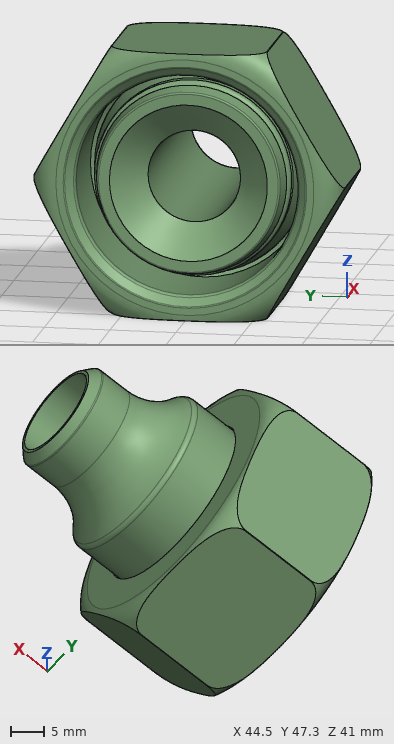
import cadquery as cq
import math

OVERALL_LENGTH = 44.45

NUT_LENGTH = 21.0
NUT_ACROSS_FLATS = 41.0
NUT_TURNED_DIAMETER = 47.3
NUT_CORNER_RADIUS = 4.0
NUT_THREAD_DIAMETER = 33.8
NUT_REAR_BORE_DIAMETER = 28.25
NUT_MOUTH_CHAMFER = 1.5
NUT_MOUTH_EDGE_RADIUS = 0.3
NUT_MOUTH_INNER_RADIUS = 1.0

NIPPLE_FRONT_X = 3.0
SEAL_CONE_HALF_ANGLE = 12.0
SEAL_CONE_FRONT_DIAMETER = 27.8
SEAL_CONE_EDGE_RADIUS = 0.3
COLLAR_DIAMETER = 32.4
COLLAR_LAND = 1.0
SHANK_DIAMETER = 27.9
NECK_START_X = 28.4
NECK_CONVEX_RADIUS = 1.0
NECK_CONCAVE_RADIUS = 10.0
WELD_END_DIAMETER = 18.0
WELD_CHAMFER = 1.45
WELD_EDGE_RADIUS = 0.3
BORE_DIAMETER = 14.05
BORE_MOUTH_DIAMETER = 24.05

RING_SECTION_DIAMETER = 2.0
RING_INNER_DIAMETER = 26.0
GROOVE_FRONT_X = 5.65
GROOVE_WIDTH = 2.6

nut_bore_radius = NUT_THREAD_DIAMETER / 2
nut_rear_radius = NUT_REAR_BORE_DIAMETER / 2
collar_radius = COLLAR_DIAMETER / 2
shank_radius = SHANK_DIAMETER / 2
weld_radius = WELD_END_DIAMETER / 2
bore_radius = BORE_DIAMETER / 2
cone_front_radius = SEAL_CONE_FRONT_DIAMETER / 2
cone_slope = math.tan(math.radians(SEAL_CONE_HALF_ANGLE))
collar_start_x = NIPPLE_FRONT_X + (collar_radius - cone_front_radius) / cone_slope
collar_end_x = collar_start_x + COLLAR_LAND
seat_start_x = collar_end_x - (nut_bore_radius - collar_radius)
seat_end_x = collar_end_x + (collar_radius - nut_rear_radius)


def revolve_about_x(profile):
    """Turn a closed profile drawn as (x, radius) into a solid of revolution about X."""
    return profile.close().revolve(360, (0, 0, 0), (1, 0, 0))


def corner_arc(before, corner, after, radius):
    """Start, middle and end points of an arc that rounds a profile corner."""
    def unit(to):
        dx, dy = to[0] - corner[0], to[1] - corner[1]
        length = math.hypot(dx, dy)
        return dx / length, dy / length

    a, b = unit(before), unit(after)
    half_angle = math.acos(a[0] * b[0] + a[1] * b[1]) / 2
    tangent = radius / math.tan(half_angle)
    to_middle = radius / math.sin(half_angle) - radius
    bisector = (a[0] + b[0], a[1] + b[1])
    size = math.hypot(*bisector)
    start = (corner[0] + a[0] * tangent, corner[1] + a[1] * tangent)
    middle = (corner[0] + bisector[0] / size * to_middle, corner[1] + bisector[1] / size * to_middle)
    end = (corner[0] + b[0] * tangent, corner[1] + b[1] * tangent)
    return start, middle, end


def make_nut():
    """Hexagon nut with domed ends, chamfered mouth, thread bore and 45 degree rear seat."""
    corner_diameter = NUT_ACROSS_FLATS / math.cos(math.radians(30))
    hexagon = cq.Workplane("YZ").polygon(6, corner_diameter).extrude(NUT_LENGTH)
    turned_blank = (
        cq.Workplane("YZ").circle(NUT_TURNED_DIAMETER / 2).extrude(NUT_LENGTH)
        .edges().fillet(NUT_CORNER_RADIUS)
    )

    mouth = (0, nut_bore_radius + NUT_MOUTH_CHAMFER)
    throat = (NUT_MOUTH_CHAMFER, nut_bore_radius)
    seat = (seat_start_x, nut_bore_radius)
    edge_start, edge_middle, edge_end = corner_arc(
        (0, NUT_TURNED_DIAMETER / 2), mouth, throat, NUT_MOUTH_EDGE_RADIUS)
    inner_start, inner_middle, inner_end = corner_arc(mouth, throat, seat, NUT_MOUTH_INNER_RADIUS)
    cavity = revolve_about_x(
        cq.Workplane("XY").moveTo(0, 0).lineTo(*edge_start)
        .threePointArc(edge_middle, edge_end)
        .lineTo(*inner_start)
        .threePointArc(inner_middle, inner_end)
        .lineTo(*seat)
        .lineTo(seat_end_x, nut_rear_radius)
        .lineTo(NUT_LENGTH, nut_rear_radius)
        .lineTo(NUT_LENGTH, 0)
    )
    return hexagon.intersect(turned_blank).cut(cavity)


def make_nipple():
    """Weld nipple: 24 degree sealing cone, collar, shank, curved neck and weld end."""
    face_x = NIPPLE_FRONT_X
    mouth_radius = BORE_MOUTH_DIAMETER / 2
    funnel_end_x = face_x + mouth_radius - bore_radius
    cone_edge = corner_arc(
        (face_x, mouth_radius), (face_x, cone_front_radius),
        (collar_start_x, collar_radius), SEAL_CONE_EDGE_RADIUS)

    both_radii = NECK_CONVEX_RADIUS + NECK_CONCAVE_RADIUS
    neck_angle = math.acos(1 - (shank_radius - weld_radius) / both_radii)
    neck_end_x = NECK_START_X + both_radii * math.sin(neck_angle)

    def convex_point(angle):
        return (NECK_START_X + NECK_CONVEX_RADIUS * math.sin(angle),
                shank_radius - NECK_CONVEX_RADIUS * (1 - math.cos(angle)))

    def concave_point(angle):
        return (neck_end_x - NECK_CONCAVE_RADIUS * math.sin(angle),
                weld_radius + NECK_CONCAVE_RADIUS * (1 - math.cos(angle)))

    weld_shoulder = (OVERALL_LENGTH - WELD_CHAMFER, weld_radius)
    weld_tip = (OVERALL_LENGTH, weld_radius - WELD_CHAMFER)
    weld_edge = corner_arc((neck_end_x, weld_radius), weld_shoulder, weld_tip, WELD_EDGE_RADIUS)

    body = revolve_about_x(
        cq.Workplane("XY").moveTo(face_x, mouth_radius).lineTo(*cone_edge[0])
        .threePointArc(*cone_edge[1:])
        .lineTo(collar_start_x, collar_radius)
        .lineTo(collar_end_x, collar_radius)
        .lineTo(collar_end_x + collar_radius - shank_radius, shank_radius)
        .lineTo(NECK_START_X, shank_radius)
        .threePointArc(convex_point(neck_angle / 2), convex_point(neck_angle))
        .threePointArc(concave_point(neck_angle / 2), concave_point(0))
        .lineTo(*weld_edge[0])
        .threePointArc(*weld_edge[1:])
        .lineTo(*weld_tip)
        .lineTo(OVERALL_LENGTH, bore_radius)
        .lineTo(funnel_end_x, bore_radius)
    )
    groove = (
        cq.Workplane("YZ", origin=(GROOVE_FRONT_X, 0, 0))
        .circle(collar_radius).circle(RING_INNER_DIAMETER / 2).extrude(GROOVE_WIDTH)
    )
    return body.cut(groove)


def make_o_ring():
    """O-ring resting on the bottom of the groove, midway between its walls."""
    section_radius = RING_SECTION_DIAMETER / 2
    return cq.Workplane("XY").add(cq.Solid.makeTorus(
        RING_INNER_DIAMETER / 2 + section_radius, section_radius,
        cq.Vector(GROOVE_FRONT_X + GROOVE_WIDTH / 2, 0, 0), cq.Vector(1, 0, 0)))


nut = make_nut()
nipple = make_nipple()
o_ring = make_o_ring()

result = cq.Compound.makeCompound([nut.val(), nipple.val(), o_ring.val()])